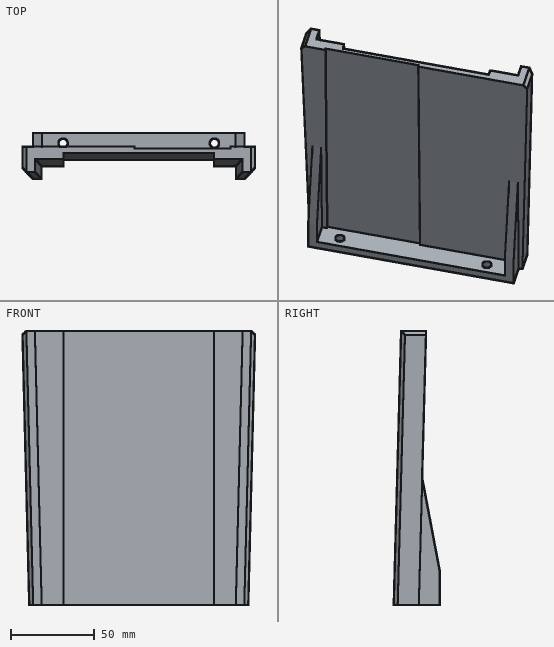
import cadquery as cq

height = 165.1
top_width = 140.2
total_depth = 27.9
lean = 4.5
side_taper = 4.1

plate_depth = 15.2
ledge_depth = 7.8
floor_depth = 11.4
wall = 7.6
floor_half_width = 45.2
edge_chamfer = 2.5

wedge_half_width = 63.7
gusset_width = 5.5
base_height = gusset_width
wedge_flat_height = 20.3
wedge_top = 76.6
wedge_overlap = 1.7

hole_diameter = 5.5
hole_x = 45.5
hole_y = 21.6

relief_left = -2.5
relief_right = 55.1
relief_depth = 1.2

top_half_width = top_width / 2 + side_taper * edge_chamfer / height
bottom_half_width = top_half_width - side_taper


def plate_section(half_width, front, z):
    """Closed wire of the plate section at one height."""
    inner = half_width - wall
    back = front + plate_depth
    right_half = [
        (floor_half_width, front + floor_depth),
        (floor_half_width, front + ledge_depth),
        (inner, front + ledge_depth),
        (inner, front),
        (half_width - edge_chamfer, front),
        (half_width, front + edge_chamfer),
        (half_width, back),
    ]
    left_half = [(-x, y) for x, y in reversed(right_half)]
    points = [cq.Vector(x, y, z) for x, y in right_half + left_half]
    return cq.Wire.makePolygon(points, close=True)


def make_plate():
    """Leaning, tapered plate with its upper side corners bevelled."""
    bottom = plate_section(bottom_half_width, 0, 0)
    top = plate_section(top_half_width, lean, height)
    plate = cq.Workplane(cq.Solid.makeLoft([bottom, top], True))
    for side in (-1, 1):
        corner = (
            cq.Workplane("XZ")
            .polyline([
                (side * (top_half_width - edge_chamfer), height),
                (side * top_half_width, height),
                (side * top_half_width, height - edge_chamfer),
            ])
            .close()
            .extrude(-total_depth)
        )
        plate = plate.cut(corner)
    return plate


def back_of_plate(z):
    return plate_depth + lean * z / height


def make_bracket():
    """Wedge on the back of the plate, hollowed to leave two gussets and a drilled base."""
    root_bottom = back_of_plate(0) - wedge_overlap
    root_top = back_of_plate(wedge_top) - wedge_overlap
    wedge = (
        cq.Workplane("YZ")
        .polyline([
            (root_bottom, 0),
            (total_depth, 0),
            (total_depth, wedge_flat_height),
            (back_of_plate(wedge_top), wedge_top),
            (root_top, wedge_top),
        ])
        .close()
        .extrude(wedge_half_width, both=True)
    )
    pocket = cq.Workplane("XY").box(
        2 * (wedge_half_width - gusset_width), total_depth, wedge_top,
        centered=(True, False, False),
    ).translate((0, 0, base_height))
    holes = (
        cq.Workplane("XY")
        .pushPoints([(-hole_x, hole_y), (hole_x, hole_y)])
        .circle(hole_diameter / 2)
        .extrude(base_height)
    )
    return wedge.cut(pocket).cut(holes)


def make_relief():
    """Relief cutter parallel to the leaning back face."""
    low_back = back_of_plate(base_height)
    high_back = back_of_plate(height)
    return (
        cq.Workplane("YZ", origin=(relief_left, 0, 0))
        .polyline([
            (low_back - relief_depth, base_height),
            (total_depth, base_height),
            (total_depth, height),
            (high_back - relief_depth, height),
        ])
        .close()
        .extrude(relief_right - relief_left)
    )


result = make_plate().cut(make_relief()).union(make_bracket())